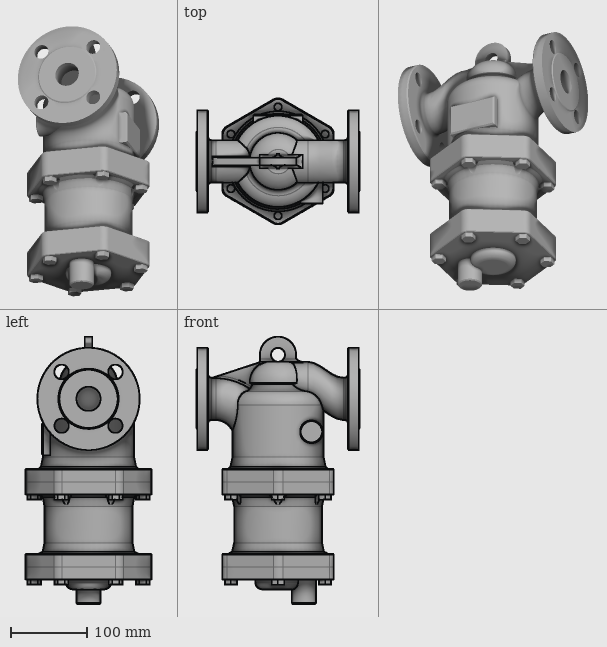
import cadquery as cq
import math


OVERLAP = 1.0

FACE_TO_FACE = 215.0
FLANGE_DIAMETER = 135.0
FLANGE_THICKNESS = 14.5
FLANGE_CHAMFER = 1.5
RAISED_FACE_DIAMETER = 79.5
RAISED_FACE_HEIGHT = 1.2
RAISED_FACE_CHAMFER = 1.5
PORT_DIAMETER = 32.0
PORT_DEPTH = 30.0
FLANGE_BOLT_CIRCLE = 100.0
FLANGE_BOLT_COUNT = 4
FLANGE_BOLT_HOLE = 19.0
FLANGE_BOLT_ANGLE = 45.0
PIPE_RADIUS = 28.0
PIPE_FLANGE_FILLET = 4.0
INLET_BEND_RADIUS = 52.0
INLET_BEND_X = -82.0
OUTLET_BEND_X = 39.0
OUTLET_STRAIGHT_X = 86.0
OUTLET_SECTIONS = 6

BODY_RADIUS = 60.0
BODY_TOP_Z = -8.0
DOME_RADIUS = 37.5
DOME_TOP_Z = 49.0
DOME_FLAT_RADIUS = 16.0
DOME_RIM_Z = 21.0
DOME_BULGE_Z = 22.0
NECK_RADIUS = 34.0
NECK_Z = 19.0
SHOULDER_CREST_RADIUS = 45.0
SHOULDER_CREST_Z = 10.0
BODY_FLARE_TOP_Z = -76.0
FLARE_RADIUS = 62.8
FLARE_FOOT_RADIUS = 66.0
FLARE_FOOT_HEIGHT = 2.8

BARREL_RADIUS = 58.0
BARREL_FLARE_RADIUS = 60.5
BARREL_UPPER_FLARE_Z = -141.2
BARREL_UPPER_FLARE_HEIGHT = 11.5
BARREL_LOWER_FLARE_Z = -189.5
BARREL_LOWER_FLARE_HEIGHT = 11.5

HEX_SIDES = 6
HEX_APOTHEM = 73.5
HEX_CORNER_RADIUS = 12.0
UPPER_JOINT_TOP_Z = -92.3
LOWER_JOINT_TOP_Z = -204.1
JOINT_CHAMFER = 1.0
PLATE_THICKNESS = 17.0
JOINT_HEIGHT = 2 * PLATE_THICKNESS
JOINT_BOLT_CIRCLE_RADIUS = 71.5
BOLT_DIAMETER = 10.0
BOLT_END_PROJECTION = 0.5
BOLT_HEAD_FLATS = 16.0
BOLT_HEAD_HEIGHT = 6.2
SPOTFACE_RADIUS = 13.0

CUP_RADIUS = 30.0
CUP_BOTTOM_Z = -250.9
CUP_FILLET = 10.0
SPOUT_X = 34.0
SPOUT_DIAMETER = 32.0
SPOUT_CHAMFER = 1.5
OVERALL_HEIGHT = 351.97

EYE_Z = 57.9
EYE_RADIUS = 24.0
EYE_HOLE_DIAMETER = 18.0
EYE_THICKNESS = 10.0
EYE_ROOT_Z = 43.0
EYE_FOOT_X = 32.5
FOOT_FILLET = 4.0
EYE_FOOT_TOE = (26.5, 50.5)
WEB_END_X = -86.5
WEB_END_Z = 27.7
WEB_TOP_Z = 48.3

PLUG_X = 44.0
PLUG_Z = -43.3
PLUG_DIAMETER = 30.0
PLUG_CHAMFER = 1.0
PLUG_FACE_Y = -56.0
PAD_WIDTH = 65.5
PAD_FACE_Y = 61.7
PAD_ROOT_Y = 40.0
PAD_BOTTOM_Z = -74.0
PAD_TOP_Z = -32.0
PAD_CHAMFER = 2.0

FLANGE_FACE_X = FACE_TO_FACE / 2
FLANGE_BACK_X = FLANGE_FACE_X - RAISED_FACE_HEIGHT - FLANGE_THICKNESS
SPOUT_BOTTOM_Z = EYE_Z + EYE_RADIUS - OVERALL_HEIGHT


def cylinder_z(radius, bottom_z, top_z, x=0.0):
    return cq.Workplane("XY", origin=(x, 0, bottom_z)).circle(radius).extrude(top_z - bottom_z)


def line_flange():
    """Flange with a raised face and a filleted pipe root, facing +X."""
    raised_radius = RAISED_FACE_DIAMETER / 2
    rim_radius = FLANGE_DIAMETER / 2
    rim_face_x = FLANGE_FACE_X - RAISED_FACE_HEIGHT
    root_x = FLANGE_BACK_X - PIPE_FLANGE_FILLET
    fillet_sag = PIPE_FLANGE_FILLET * (1 - math.sqrt(0.5))
    return (
        cq.Workplane("XY")
        .moveTo(FLANGE_FACE_X, 0)
        .lineTo(FLANGE_FACE_X, raised_radius - RAISED_FACE_CHAMFER)
        .lineTo(rim_face_x, raised_radius)
        .lineTo(rim_face_x, rim_radius)
        .lineTo(FLANGE_BACK_X + FLANGE_CHAMFER, rim_radius)
        .lineTo(FLANGE_BACK_X, rim_radius - FLANGE_CHAMFER)
        .lineTo(FLANGE_BACK_X, PIPE_RADIUS + PIPE_FLANGE_FILLET)
        .threePointArc(
            (FLANGE_BACK_X - fillet_sag, PIPE_RADIUS + fillet_sag),
            (root_x, PIPE_RADIUS),
        )
        .lineTo(root_x, 0)
        .close()
        .revolve(360, (0, 0, 0), (1, 0, 0))
    )


def inlet_path():
    """Centre line of the inlet, straight from the flange and then bending down."""
    return (
        cq.Workplane("XZ")
        .moveTo(-FLANGE_BACK_X - OVERLAP, 0)
        .lineTo(INLET_BEND_X, 0)
        .radiusArc((INLET_BEND_X + INLET_BEND_RADIUS, -INLET_BEND_RADIUS), INLET_BEND_RADIUS)
    )


def inlet_pipe():
    start = cq.Workplane("YZ", origin=(-FLANGE_BACK_X - OVERLAP, 0, 0))
    return start.circle(PIPE_RADIUS).sweep(inlet_path())


def outlet_pipe():
    """Pipe from the dome to the +X flange, dropping along a half cosine wave.

    Every section across X is a full circle, so the bend is narrower along its slope.
    """
    start_z = DOME_TOP_Z - PIPE_RADIUS
    bend_length = OUTLET_STRAIGHT_X - OUTLET_BEND_X
    bend = cq.Workplane("YZ", origin=(OUTLET_BEND_X, 0, 0))
    for i in range(OUTLET_SECTIONS + 1):
        fraction = i / OUTLET_SECTIONS
        center_z = start_z * (1 + math.cos(math.pi * fraction)) / 2
        bend = bend.center(0, center_z).circle(PIPE_RADIUS).center(0, -center_z)
        if i < OUTLET_SECTIONS:
            bend = bend.workplane(offset=bend_length / OUTLET_SECTIONS)
    bend = bend.loft()
    upper = cq.Workplane("YZ", origin=(0, 0, start_z)).circle(PIPE_RADIUS).extrude(OUTLET_BEND_X)
    lower = cq.Workplane("YZ", origin=(OUTLET_STRAIGHT_X, 0, 0))
    lower = lower.circle(PIPE_RADIUS).extrude(FLANGE_BACK_X + OVERLAP - OUTLET_STRAIGHT_X)
    return upper.union(bend).union(lower)


def upper_body():
    """Domed cap, rounded shoulder and body, flared onto the upper joint."""
    foot_top_z = UPPER_JOINT_TOP_Z + FLARE_FOOT_HEIGHT
    return (
        cq.Workplane("XZ")
        .moveTo(0, UPPER_JOINT_TOP_Z)
        .lineTo(FLARE_FOOT_RADIUS, UPPER_JOINT_TOP_Z)
        .lineTo(FLARE_RADIUS, foot_top_z)
        .lineTo(BODY_RADIUS, BODY_FLARE_TOP_Z)
        .lineTo(BODY_RADIUS, BODY_TOP_Z)
        .tangentArcPoint((SHOULDER_CREST_RADIUS, SHOULDER_CREST_Z), relative=False)
        .tangentArcPoint((NECK_RADIUS, NECK_Z), relative=False)
        .lineTo(DOME_RADIUS, DOME_RIM_Z)
        .lineTo(DOME_RADIUS, DOME_BULGE_Z)
        .tangentArcPoint((DOME_FLAT_RADIUS, DOME_TOP_Z), relative=False)
        .lineTo(0, DOME_TOP_Z)
        .close()
        .revolve(360, (0, 0, 0), (0, 1, 0))
    )


def barrel():
    """Barrel between the two joints, flared at both ends."""
    top_z = UPPER_JOINT_TOP_Z - JOINT_HEIGHT
    upper_flare_end_z = BARREL_UPPER_FLARE_Z + BARREL_UPPER_FLARE_HEIGHT
    lower_flare_end_z = BARREL_LOWER_FLARE_Z - BARREL_LOWER_FLARE_HEIGHT
    return (
        cq.Workplane("XZ")
        .moveTo(0, top_z)
        .lineTo(FLARE_FOOT_RADIUS, top_z)
        .lineTo(BARREL_FLARE_RADIUS, upper_flare_end_z)
        .lineTo(BARREL_RADIUS, BARREL_UPPER_FLARE_Z)
        .lineTo(BARREL_RADIUS, BARREL_LOWER_FLARE_Z)
        .lineTo(BARREL_FLARE_RADIUS, lower_flare_end_z)
        .lineTo(FLARE_FOOT_RADIUS, LOWER_JOINT_TOP_Z)
        .lineTo(0, LOWER_JOINT_TOP_Z)
        .close()
        .revolve(360, (0, 0, 0), (0, 1, 0))
    )


def hex_corner_diameter(across_flats):
    return across_flats / math.cos(math.pi / HEX_SIDES)


def hex_prism(apothem, bottom_z, height, corner_radius):
    """Hexagonal prism with corners on the Y axis and rounded vertical edges."""
    prism = (
        cq.Workplane("XY", origin=(0, 0, bottom_z))
        .transformed(rotate=(0, 0, 90))
        .polygon(HEX_SIDES, hex_corner_diameter(2 * apothem))
        .extrude(height)
    )
    return prism.edges("|Z").fillet(corner_radius)


def bolt_positions():
    """Bolt centres, one inside each corner of the hexagon."""
    step = 2 * math.pi / HEX_SIDES
    radius = JOINT_BOLT_CIRCLE_RADIUS
    angles = [math.pi / 2 + i * step for i in range(HEX_SIDES)]
    return [(radius * math.cos(a), radius * math.sin(a)) for a in angles]


def joint_plates(top_z):
    """Upper and lower hexagonal plates of one joint, chamfered on their outer faces."""
    upper = hex_prism(HEX_APOTHEM, top_z - PLATE_THICKNESS, PLATE_THICKNESS, HEX_CORNER_RADIUS)
    lower = hex_prism(HEX_APOTHEM, top_z - JOINT_HEIGHT, PLATE_THICKNESS, HEX_CORNER_RADIUS)
    upper = upper.faces(">Z").edges().chamfer(JOINT_CHAMFER)
    lower = lower.faces("<Z").edges().chamfer(JOINT_CHAMFER)
    return upper, lower


def joint_bolts(top_z):
    """Hexagon heads under the joint and bolt ends standing just above it."""
    bottom_z = top_z - JOINT_HEIGHT
    heads = (
        cq.Workplane("XY", origin=(0, 0, bottom_z - BOLT_HEAD_HEIGHT))
        .transformed(rotate=(0, 0, 90))
        .pushPoints([(y, -x) for x, y in bolt_positions()])
        .polygon(HEX_SIDES, hex_corner_diameter(BOLT_HEAD_FLATS))
        .extrude(BOLT_HEAD_HEIGHT)
    )
    ends = (
        cq.Workplane("XY", origin=(0, 0, top_z - PLATE_THICKNESS))
        .pushPoints(bolt_positions())
        .circle(BOLT_DIAMETER / 2)
        .extrude(PLATE_THICKNESS + BOLT_END_PROJECTION)
    )
    return heads, ends


def spotfaces():
    """Round clearances in the barrel flare beside the upper bolt heads."""
    top_z = UPPER_JOINT_TOP_Z - JOINT_HEIGHT
    return (
        cq.Workplane("XY", origin=(0, 0, BARREL_UPPER_FLARE_Z))
        .pushPoints(bolt_positions())
        .circle(SPOTFACE_RADIUS)
        .extrude(top_z - BARREL_UPPER_FLARE_Z)
    )


def lower_cup():
    joint_bottom_z = LOWER_JOINT_TOP_Z - JOINT_HEIGHT
    return cylinder_z(CUP_RADIUS, CUP_BOTTOM_Z, joint_bottom_z).faces("<Z").edges().fillet(CUP_FILLET)


def drain_spout():
    joint_bottom_z = LOWER_JOINT_TOP_Z - JOINT_HEIGHT
    spout = cylinder_z(SPOUT_DIAMETER / 2, SPOUT_BOTTOM_Z, joint_bottom_z, x=SPOUT_X)
    return spout.faces("<Z").edges().chamfer(SPOUT_CHAMFER)


def concave_flanks(start_x, root_z, flank_z):
    """Upright section of a rib foot whose sides curve in to the rib thickness."""
    top_z = flank_z + FOOT_FILLET
    half_rib = EYE_THICKNESS / 2
    half_foot = half_rib + FOOT_FILLET
    return (
        cq.Workplane("YZ", origin=(start_x, 0, 0))
        .moveTo(-half_foot, root_z)
        .lineTo(-half_foot, flank_z)
        .radiusArc((-half_rib, top_z), -FOOT_FILLET)
        .lineTo(half_rib, top_z)
        .radiusArc((half_foot, flank_z), -FOOT_FILLET)
        .lineTo(half_foot, root_z)
        .close()
    )


def web_outline():
    return (
        cq.Workplane("XZ")
        .moveTo(WEB_END_X, 0)
        .lineTo(WEB_END_X, WEB_END_Z)
        .lineTo(-EYE_RADIUS, WEB_TOP_Z)
        .lineTo(-EYE_RADIUS + OVERLAP, 0)
        .close()
    )


def inlet_web():
    """Sloping web from the inlet pipe to the eye, with a foot that follows the pipe."""
    web = web_outline().extrude(EYE_THICKNESS / 2, both=True)
    half_foot = EYE_THICKNESS / 2 + FOOT_FILLET
    flank_z = math.sqrt(PIPE_RADIUS**2 - half_foot**2)
    foot = concave_flanks(-FLANGE_BACK_X - OVERLAP, PIPE_RADIUS / 2, flank_z).sweep(inlet_path())
    return web.union(foot.intersect(web_outline().extrude(half_foot, both=True)))


def lifting_eye():
    """Upright eye standing on a foot with concave flanks."""
    eye = (
        cq.Workplane("XZ")
        .moveTo(-EYE_RADIUS, EYE_ROOT_Z)
        .lineTo(-EYE_RADIUS, EYE_Z)
        .threePointArc((0, EYE_Z + EYE_RADIUS), (EYE_RADIUS, EYE_Z))
        .lineTo(EYE_RADIUS, EYE_ROOT_Z)
        .close()
        .extrude(EYE_THICKNESS / 2, both=True)
    )
    foot_top_z = DOME_TOP_Z + FOOT_FILLET
    half_foot = EYE_THICKNESS / 2 + FOOT_FILLET
    flanks = concave_flanks(-EYE_RADIUS, EYE_ROOT_Z, DOME_TOP_Z).extrude(EYE_RADIUS + EYE_FOOT_X)
    outline = (
        cq.Workplane("XZ")
        .moveTo(-EYE_RADIUS, EYE_ROOT_Z)
        .lineTo(-EYE_RADIUS, foot_top_z)
        .lineTo(EYE_RADIUS, foot_top_z)
        .threePointArc(EYE_FOOT_TOE, (EYE_FOOT_X, DOME_TOP_Z))
        .lineTo(EYE_FOOT_X, EYE_ROOT_Z)
        .close()
        .extrude(half_foot, both=True)
    )
    return eye.union(flanks.intersect(outline))


def eye_hole():
    hole = cq.Workplane("XZ", origin=(0, 0, EYE_Z)).circle(EYE_HOLE_DIAMETER / 2)
    return hole.extrude(EYE_THICKNESS, both=True)


def side_plug():
    plug = cq.Workplane("XZ", origin=(PLUG_X, 0, PLUG_Z)).circle(PLUG_DIAMETER / 2).extrude(-PLUG_FACE_Y)
    return plug.faces("<Y").edges().chamfer(PLUG_CHAMFER)


def rear_pad():
    center_z = (PAD_TOP_Z + PAD_BOTTOM_Z) / 2
    pad = (
        cq.Workplane("XZ", origin=(0, PAD_FACE_Y, center_z))
        .rect(PAD_WIDTH, PAD_TOP_Z - PAD_BOTTOM_Z)
        .extrude(PAD_FACE_Y - PAD_ROOT_Y)
    )
    return pad.faces(">Y").edges().chamfer(PAD_CHAMFER)


def flange_bores(side):
    """Blind port and through bolt holes of one flange; side is +1 or -1 along X."""
    face = cq.Workplane("YZ", origin=(side * FLANGE_FACE_X, 0, 0))
    port = face.circle(PORT_DIAMETER / 2).extrude(-side * PORT_DEPTH)
    holes = (
        face.polarArray(FLANGE_BOLT_CIRCLE / 2, FLANGE_BOLT_ANGLE, 360, FLANGE_BOLT_COUNT)
        .circle(FLANGE_BOLT_HOLE / 2)
        .extrude(-side * (FLANGE_FACE_X - FLANGE_BACK_X))
    )
    return port.union(holes)


outlet_flange = line_flange()
inlet_flange = outlet_flange.mirror("YZ")

result = upper_body()
result = result.union(inlet_pipe()).union(inlet_web()).union(outlet_pipe())
result = result.union(side_plug()).union(rear_pad())
result = result.union(lifting_eye()).cut(eye_hole())
result = result.union(inlet_flange).union(outlet_flange)
result = result.cut(flange_bores(1)).cut(flange_bores(-1))

result = result.union(barrel().cut(spotfaces()))
result = result.union(lower_cup()).union(drain_spout())

for joint_top_z in (UPPER_JOINT_TOP_Z, LOWER_JOINT_TOP_Z):
    for joint_part in joint_plates(joint_top_z) + joint_bolts(joint_top_z):
        result = result.union(joint_part, clean=False)